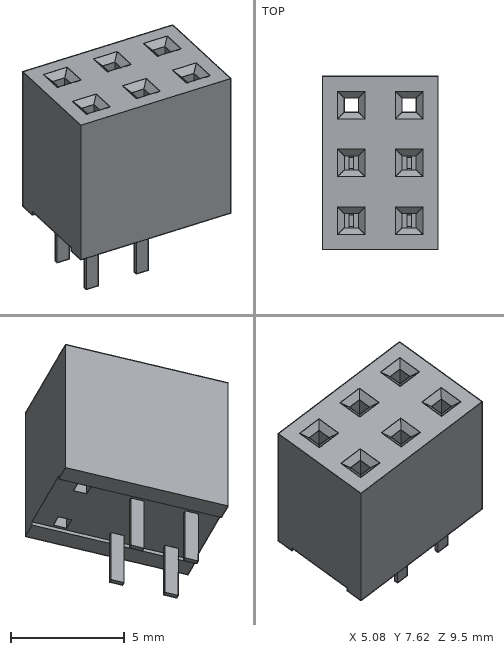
import cadquery as cq


columns = 2
rows = 3
body_length = 7.62
pitch = body_length / rows
body_width = columns * pitch
total_height = 9.5
pin_drop = 2.5
body_height = total_height - pin_drop

foot_width = 0.85
foot_height = 0.18
channel_width = body_width - 2 * foot_width

hole_size = 0.62
lead_in_depth = 0.29
rim_size = hole_size + 2 * lead_in_depth

contact_top = 1.71
pin_thickness = 0.19
pin_width = hole_size
groove_depth = 0.062

column_positions = [(i - (columns - 1) / 2) * pitch for i in range(columns)]
row_positions = [(i - (rows - 1) / 2) * pitch for i in range(rows)]
contact_rows = row_positions[:-1]


def block(x, y, size_x, size_y, bottom, top):
    """Upright box centred on (x, y)."""
    return (
        cq.Workplane("XY", origin=(x, y, bottom))
        .rect(size_x, size_y)
        .extrude(top - bottom)
    )


def socket_hole(x, y):
    """Square through hole flaring out to the rim at the top face."""
    hole = block(x, y, hole_size, hole_size, 0, body_height)
    lead_in = (
        cq.Workplane("XY", origin=(x, y, body_height - lead_in_depth))
        .rect(hole_size, hole_size)
        .workplane(offset=lead_in_depth)
        .rect(rim_size, rim_size)
        .loft(ruled=True)
    )
    return hole.union(lead_in)


def contact(x, y):
    """Plug in the hole with a grooved top and a flat pin below."""
    plug = block(x, y, hole_size, hole_size, foot_height, contact_top)
    pin = block(x, y, pin_thickness, pin_width, -pin_drop, contact_top)
    half_length = hole_size / 2
    half_floor = half_length - groove_depth
    groove = (
        cq.Workplane("YZ", origin=(x, y, contact_top))
        .moveTo(-half_length, 0)
        .lineTo(-half_floor, -groove_depth)
        .lineTo(half_floor, -groove_depth)
        .lineTo(half_length, 0)
        .close()
        .extrude(pin_thickness / 2, both=True)
    )
    return plug.union(pin).cut(groove)


result = block(0, 0, body_width, body_length, 0, body_height)
result = result.cut(block(0, 0, channel_width, body_length, 0, foot_height))

for x in column_positions:
    for y in row_positions:
        result = result.cut(socket_hole(x, y))
    for y in contact_rows:
        result = result.union(contact(x, y))